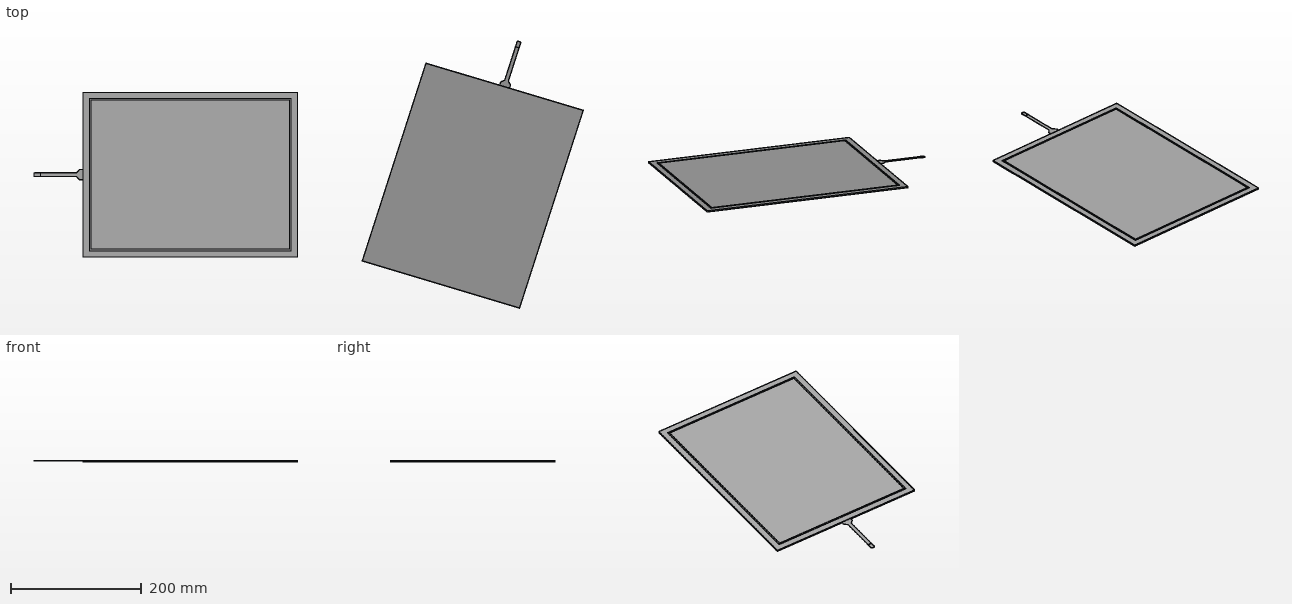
import cadquery as cq

overall_length = 403.0
panel_length = 328.0
panel_width = 252.0
panel_thickness = 2.2

groove_margin = 9.5
groove_width = 2.5
groove_depth = 0.2

tail_length = overall_length - panel_length
tail_width = 6.0
tail_thickness = 0.2
tail_bottom = 1.5
flare_width = 16.0
flare_length = 5.2
taper_length = 5.0
tail_center_y = panel_width / 2

contact_length = 9.5
contact_bottom = 1.2
contact_thickness = 1.0
contact_corner_radius = 1.5


def inset_block(margin):
    """Block of groove depth at the panel top, inset from the panel edges."""
    return cq.Workplane("XY").box(
        panel_length - 2 * margin,
        panel_width - 2 * margin,
        groove_depth,
        centered=False,
    ).translate((margin, margin, panel_thickness - groove_depth))


def make_panel():
    plate = cq.Workplane("XY").box(panel_length, panel_width, panel_thickness, centered=False)
    groove = inset_block(groove_margin).cut(inset_block(groove_margin + groove_width))
    return plate.cut(groove)


def make_tail():
    """Narrow strip that widens through a taper where it meets the panel."""
    neck_x = -flare_length - taper_length
    upper_edge = [
        (-tail_length + contact_length, tail_width / 2),
        (neck_x, tail_width / 2),
        (-flare_length, flare_width / 2),
        (0, flare_width / 2),
    ]
    lower_edge = [(x, -y) for x, y in reversed(upper_edge)]
    return (
        cq.Workplane("XY")
        .polyline(upper_edge + lower_edge)
        .close()
        .extrude(tail_thickness)
        .translate((0, tail_center_y, tail_bottom))
    )


def make_contact_end():
    """Pad standing proud of both tail faces, with rounded corners at the free end of the tail."""
    return (
        cq.Workplane("XY")
        .box(contact_length, tail_width, contact_thickness, centered=(False, True, False))
        .edges("|Z and <X")
        .fillet(contact_corner_radius)
        .translate((-tail_length, tail_center_y, contact_bottom))
    )


result = make_panel().union(make_tail()).union(make_contact_end())